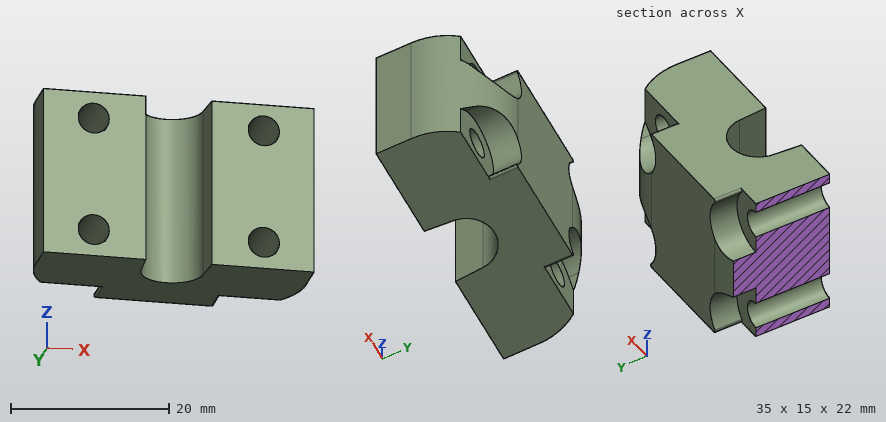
import cadquery as cq
import math

WIDTH = 35.0
DEPTH = 15.0
HEIGHT = 22.0
BACK_CORNER_RADIUS = 10.0

CHANNEL_RADIUS = 4.0
CHANNEL_DEPTH = 7.8
CHANNEL_DRAFT = math.radians(4.0)

HOLE_DIAMETER = 4.0
HOLE_X = 11.0
HOLE_Z = 7.5

POCKET_RADIUS = 4.5
POCKET_DEPTH = 4.0
LIP_RADIUS = 0.3

HALF_HEIGHT = HEIGHT / 2
POCKET_FLOOR = DEPTH - POCKET_DEPTH


def make_block():
    """Block centred on X and Z, front face on Y = 0, with rounded back corners."""
    block = cq.Workplane("XY").box(WIDTH, DEPTH, HEIGHT).translate((0, DEPTH / 2, 0))
    return block.edges("|Z and >Y").fillet(BACK_CORNER_RADIUS)


def make_channel():
    """Cutter whose drafted sides run tangent into the round bottom."""
    centre_y = CHANNEL_DEPTH - CHANNEL_RADIUS
    tangent_x = CHANNEL_RADIUS * math.cos(CHANNEL_DRAFT)
    tangent_y = centre_y + CHANNEL_RADIUS * math.sin(CHANNEL_DRAFT)
    mouth_x = tangent_x + tangent_y * math.tan(CHANNEL_DRAFT)
    return (
        cq.Workplane("XY")
        .moveTo(-mouth_x, 0)
        .lineTo(-tangent_x, tangent_y)
        .threePointArc((0, CHANNEL_DEPTH), (tangent_x, tangent_y))
        .lineTo(mouth_x, 0)
        .close()
        .extrude(HALF_HEIGHT, both=True)
    )


def make_holes():
    """Cutter for the four through holes."""
    return (
        cq.Workplane("XZ")
        .rect(2 * HOLE_X, 2 * HOLE_Z, forConstruction=True)
        .vertices()
        .circle(HOLE_DIAMETER / 2)
        .extrude(-DEPTH)
    )


def make_pocket():
    """Pocket cutter for the +X +Z hole: a rounded lip, a round end and a 45 degree side."""
    lip_z = HALF_HEIGHT - LIP_RADIUS
    lip_rise = lip_z - HOLE_Z
    lip_run = math.sqrt((POCKET_RADIUS + LIP_RADIUS) ** 2 - lip_rise**2)
    lip_x = HOLE_X - lip_run
    touch_ratio = POCKET_RADIUS / (POCKET_RADIUS + LIP_RADIUS)
    touch_point = (HOLE_X - lip_run * touch_ratio, HOLE_Z + lip_rise * touch_ratio)
    middle_angle = (math.pi / 2 - math.atan2(lip_rise, lip_run)) / 2
    lip_middle = (
        lip_x + LIP_RADIUS * math.cos(middle_angle),
        lip_z + LIP_RADIUS * math.sin(middle_angle),
    )

    diagonal_offset = POCKET_RADIUS * math.sqrt(0.5)
    round_middle = (HOLE_X - diagonal_offset, HOLE_Z - diagonal_offset)
    side_start = (HOLE_X + diagonal_offset, HOLE_Z - diagonal_offset)
    side_length_x = WIDTH / 2 - side_start[0]
    side_end = (WIDTH / 2, side_start[1] + side_length_x)

    return (
        cq.Workplane("XZ", origin=(0, POCKET_FLOOR, 0))
        .moveTo(lip_x, HALF_HEIGHT)
        .threePointArc(lip_middle, touch_point)
        .threePointArc(round_middle, side_start)
        .lineTo(*side_end)
        .lineTo(WIDTH / 2, HALF_HEIGHT)
        .close()
        .extrude(-POCKET_DEPTH)
    )


def cut_pockets(body):
    """Cut one pocket at each of the four holes, mirrored across X and Z."""
    upper_right = make_pocket()
    upper_left = upper_right.mirror("YZ")
    for pocket in (upper_right, upper_left):
        body = body.cut(pocket).cut(pocket.mirror("XY"))
    return body


result = cut_pockets(make_block().cut(make_channel()).cut(make_holes()))